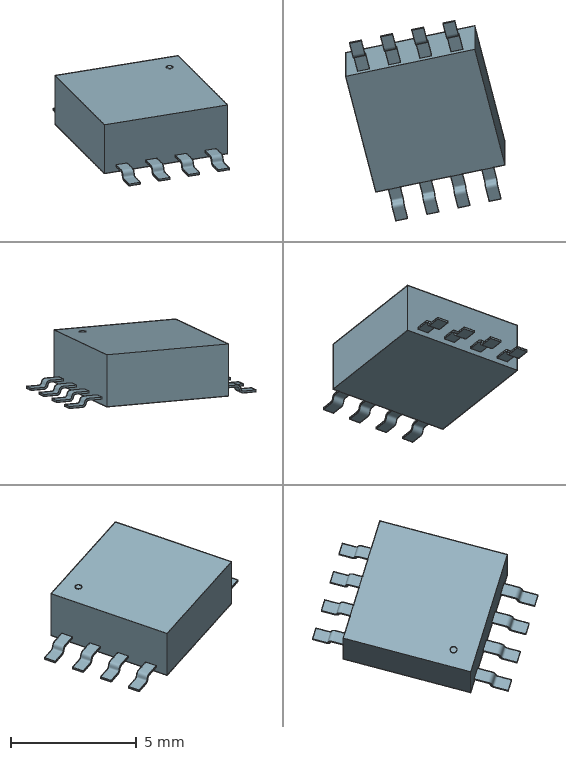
import cadquery as cq
import math

OVERALL_LENGTH = 8.1
OVERALL_HEIGHT = 2.16

HOUSING_SIDE = 5.28
STANDOFF = 0.04
HOUSING_HEIGHT = OVERALL_HEIGHT - STANDOFF

MARKER_DIAMETER = 0.27
MARKER_DEPTH = 0.04
MARKER_INSET_X = 0.92
MARKER_INSET_Y = 0.74
MARKER_X = -HOUSING_SIDE / 2 + MARKER_INSET_X
MARKER_Y = HOUSING_SIDE / 2 - MARKER_INSET_Y

LEADS_PER_SIDE = 4
LEAD_PITCH = 1.27
LEAD_WIDTH = 0.49
LEAD_THICKNESS = 0.08
LEAD_REACH = (OVERALL_LENGTH - HOUSING_SIDE) / 2
FOOT_LENGTH = 0.55
SHOULDER_TOP = 0.35
BEND_ANGLE = 75.0
BEND_INNER_RADIUS = 0.1
BEND_OUTER_RADIUS = BEND_INNER_RADIUS + LEAD_THICKNESS


def marker_disc():
    """Disc that fills the marker recess level with the housing top."""
    return (
        cq.Workplane("XY", origin=(MARKER_X, MARKER_Y, OVERALL_HEIGHT - MARKER_DEPTH))
        .circle(MARKER_DIAMETER / 2)
        .extrude(MARKER_DEPTH)
    )


def housing_block():
    """Square block with the recess for the marker."""
    block = (
        cq.Workplane("XY", origin=(0, 0, STANDOFF))
        .rect(HOUSING_SIDE, HOUSING_SIDE)
        .extrude(HOUSING_HEIGHT)
    )
    return block.cut(marker_disc())


def left_lead(y_center):
    """Lead on the -X side: flat foot, two equal and opposite bends, flat shoulder."""
    angle = math.radians(BEND_ANGLE)
    rise = SHOULDER_TOP - LEAD_THICKNESS
    radius_sum = BEND_INNER_RADIUS + BEND_OUTER_RADIUS
    riser = (rise - radius_sum * (1 - math.cos(angle))) / math.sin(angle)
    run = radius_sum * math.sin(angle) + riser * math.cos(angle)

    tip_x = -OVERALL_LENGTH / 2
    housing_x = tip_x + LEAD_REACH
    foot_end = tip_x + FOOT_LENGTH
    shoulder_start = foot_end + run
    lower_center_z = LEAD_THICKNESS + BEND_INNER_RADIUS
    upper_center_z = SHOULDER_TOP - BEND_OUTER_RADIUS

    def on_lower_bend(radius, turn):
        """Point on the lower bend after turning up from the foot."""
        return (foot_end + radius * math.sin(turn), lower_center_z - radius * math.cos(turn))

    def on_upper_bend(radius, turn):
        """Point on the upper bend, turned down from the shoulder."""
        return (shoulder_start - radius * math.sin(turn), upper_center_z + radius * math.cos(turn))

    profile = (
        cq.Workplane("XZ", origin=(0, y_center, 0))
        .moveTo(tip_x, 0)
        .lineTo(*on_lower_bend(BEND_OUTER_RADIUS, 0))
        .threePointArc(
            on_lower_bend(BEND_OUTER_RADIUS, angle / 2), on_lower_bend(BEND_OUTER_RADIUS, angle)
        )
        .lineTo(*on_upper_bend(BEND_INNER_RADIUS, angle))
        .threePointArc(
            on_upper_bend(BEND_INNER_RADIUS, angle / 2), on_upper_bend(BEND_INNER_RADIUS, 0)
        )
        .lineTo(housing_x, SHOULDER_TOP - LEAD_THICKNESS)
        .lineTo(housing_x, SHOULDER_TOP)
        .lineTo(*on_upper_bend(BEND_OUTER_RADIUS, 0))
        .threePointArc(
            on_upper_bend(BEND_OUTER_RADIUS, angle / 2), on_upper_bend(BEND_OUTER_RADIUS, angle)
        )
        .lineTo(*on_lower_bend(BEND_INNER_RADIUS, angle))
        .threePointArc(
            on_lower_bend(BEND_INNER_RADIUS, angle / 2), on_lower_bend(BEND_INNER_RADIUS, 0)
        )
        .lineTo(tip_x, LEAD_THICKNESS)
        .close()
    )
    return profile.extrude(LEAD_WIDTH / 2, both=True)


housing = housing_block()
marker = marker_disc()

leads = []
for index in range(LEADS_PER_SIDE):
    row_y = (index - (LEADS_PER_SIDE - 1) / 2) * LEAD_PITCH
    lead = left_lead(row_y)
    leads.append(lead.val())
    leads.append(lead.mirror("YZ").val())

result = cq.Compound.makeCompound([housing.val(), marker.val(), *leads])